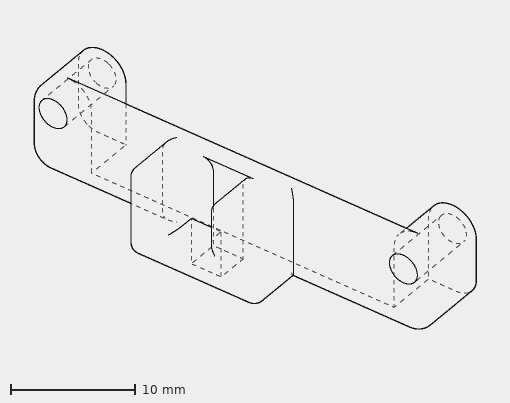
import cadquery as cq

length = 39.8
height = 8.55
plate_thickness = 2.0
block_width = 13.1
block_depth = 5.0
post_length = 4.7
post_radius = 2.4
hole_diameter = 2.8
bottom_corner_radius = 2.0
edge_radius = 1.0
slot_width = 3.0
slot_depth = 3.98
well_depth = 3.0

plate_back = plate_thickness
post_back = plate_back + post_length
post_x = length / 2 - post_radius
post_z = height - post_radius
tolerance = 0.005


def box(x_min, x_max, y_min, y_max, z_min, z_max):
    """Box spanning the given limits."""
    size = (x_max - x_min, y_max - y_min, z_max - z_min)
    return cq.Workplane("XY").box(*size, centered=False).translate((x_min, y_min, z_min))


def rounded_profile(y_min, y_max):
    """Full-length bar with large top corners and smaller bottom corners."""
    bar = box(-length / 2, length / 2, y_min, y_max, 0, height)
    bar = bar.edges("|Y and >Z").fillet(post_radius)
    return bar.edges("|Y and <Z").fillet(bottom_corner_radius)


def make_post(side):
    """Upright post behind one plate end, with a half-round top."""
    x = side * post_x
    shank = box(x - post_radius, x + post_radius, 0, post_back, 0, post_z)
    top = cq.Workplane("XZ", origin=(x, 0, post_z)).circle(post_radius).extrude(-post_back)
    return shank.union(top).intersect(rounded_profile(plate_back, post_back))


plate = rounded_profile(0, plate_thickness).faces("<Y").edges().fillet(edge_radius)

block = box(-block_width / 2, block_width / 2, -block_depth, plate_back, 0, height)
block = block.cut(box(-slot_width / 2, slot_width / 2, -block_depth, 0, height - slot_depth, height))
block = block.cut(box(-slot_width / 2, slot_width / 2, -well_depth, 0, 0, height))


def edges_within(x_min, x_max, y_min, y_max, z_min, z_max):
    """Selector for edges lying wholly inside the given limits."""
    return cq.selectors.BoxSelector(
        (x_min - tolerance, y_min - tolerance, z_min - tolerance),
        (x_max + tolerance, y_max + tolerance, z_max + tolerance),
        boundingbox=True,
    )


half_block = block_width / 2
rounded_edges = edges_within(-half_block, half_block, -block_depth, -block_depth, 0, height)
for side in (-1, 1):
    wall_x = side * slot_width / 2
    flank_x = side * half_block
    rounded_edges += edges_within(wall_x, wall_x, -block_depth, 0, height, height)
    rounded_edges += edges_within(flank_x, flank_x, -block_depth, plate_back, 0, 0)
    rounded_edges += edges_within(flank_x, flank_x, -block_depth, plate_back, height, height)
block = block.edges(rounded_edges).fillet(edge_radius)

result = plate.union(block)
for side in (-1, 1):
    result = result.union(make_post(side))

holes = cq.Workplane("XZ").pushPoints([(-post_x, post_z), (post_x, post_z)])
result = result.cut(holes.circle(hole_diameter / 2).extrude(-post_back))